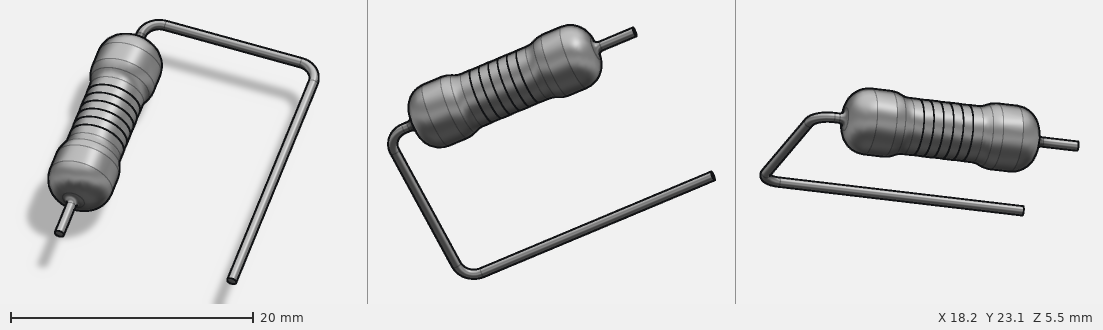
import cadquery as cq
import math


lead_radius = 0.8 / 2
lead_pitch = 15.0
bend_radius = 1.6
overall_length = 23.1

body_start = 3.6
body_length = 16.5
cap_radius = 5.5 / 2
dome_length = 1.95
cap_cylinder_length = 1.7
neck_arc_length = 0.81
barrel_radius = 4.7 / 2

flare_radius = 0.55

band_radius = 4.67 / 2
band_count = 3

body_half = body_length / 2
cap_outer = body_half - dome_length
cap_inner = cap_outer - cap_cylinder_length
neck_middle = cap_inner - neck_arc_length
barrel_half = neck_middle - neck_arc_length

body_centre = body_start + body_half
band_width = 2 * barrel_half / (2 * band_count + 1)
crossbar_y = overall_length - lead_radius
diagonal = math.sqrt(0.5)


def make_body_half():
    """Half the body of revolution, from its middle plane to the tip of the flare."""
    neck_middle_radius = (cap_radius + barrel_radius) / 2
    flare_base = lead_radius + flare_radius
    flare_tip = body_half + flare_radius
    flare_middle = (flare_base - flare_radius * diagonal, flare_tip - flare_radius * diagonal)
    profile = (
        cq.Workplane("XY")
        .lineTo(barrel_radius, 0)
        .lineTo(barrel_radius, barrel_half)
        .tangentArcPoint((neck_middle_radius, neck_middle), relative=False)
        .tangentArcPoint((cap_radius, cap_inner), relative=False)
        .lineTo(cap_radius, cap_outer)
        .tangentArcPoint((flare_base, body_half), relative=False)
        .threePointArc(flare_middle, (lead_radius, flare_tip))
        .lineTo(0, flare_tip)
        .close()
    )
    return profile.revolve(360, (0, 0, 0), (0, 1, 0))


def make_band_recess(offset):
    """Ring that lowers the barrel to the band radius, centred at the given Y offset."""
    ring = cq.Workplane("XZ").circle(cap_radius).circle(band_radius).extrude(band_width)
    return ring.translate((0, offset + band_width / 2, 0))


def make_body():
    half = make_body_half()
    body = half.union(half.mirror("XZ"))
    for i in range(band_count):
        offset = (i - (band_count - 1) / 2) * 2 * band_width
        body = body.cut(make_band_recess(offset))
    return body.translate((0, body_centre, 0))


def make_wire():
    """Continuous wire: through the body, over the crossbar and back to Y = 0."""
    bend_start = crossbar_y - bend_radius
    bend_inset = bend_radius * (1 - diagonal)
    bend_middle_y = crossbar_y - bend_inset
    path = (
        cq.Workplane("XY")
        .lineTo(0, bend_start)
        .threePointArc((bend_inset, bend_middle_y), (bend_radius, crossbar_y))
        .lineTo(lead_pitch - bend_radius, crossbar_y)
        .threePointArc((lead_pitch - bend_inset, bend_middle_y), (lead_pitch, bend_start))
        .lineTo(lead_pitch, 0)
    )
    return cq.Workplane("XZ").circle(lead_radius).sweep(path)


result = make_body().union(make_wire())